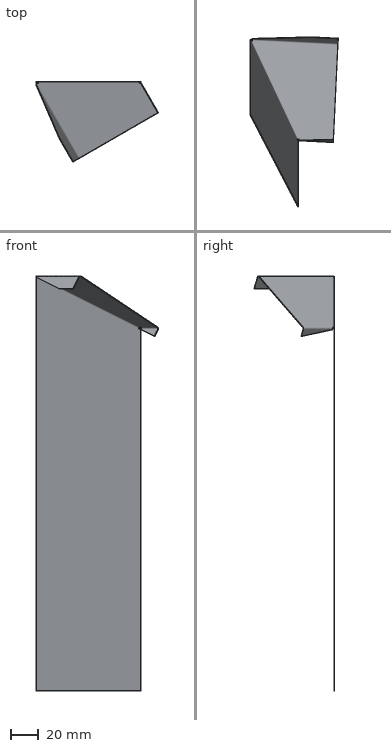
import cadquery as cq
import math

sheet = 0.5
outer_radius = 1.5
peak_height = 299.97
panel_width = 75.8
panel_left = -0.7
roof_slope = 30.0
eave_turn = 60.0
roof_left = -1.2
roof_right = 75.37
roof_reach = 63.28
flange_depth = 11.4
flange_relief = 1.3

slope = math.radians(roof_slope)
turn = math.radians(eave_turn)
peak = cq.Vector(0, 0, peak_height)
level_dir = cq.Vector(math.cos(turn), -math.sin(turn), 0)
roof_normal = cq.Vector(
    math.sin(slope) * math.sin(turn),
    math.sin(slope) * math.cos(turn),
    math.cos(slope),
)
downhill_dir = roof_normal.cross(level_dir)

fold_dir = cq.Vector(roof_normal.z, 0, -roof_normal.x).normalized()
fold_angle = math.acos(roof_normal.y)
fold_setback = outer_radius * math.tan(fold_angle / 2)

inner_radius = outer_radius - sheet
oversize = 2 * peak_height


def rounded_prism(plane, points, rounded, radius, length):
    """Prism of a polygon, with the corners listed in `rounded` turned into bends."""
    sketch = cq.Sketch().polygon(points + points[:1])
    for corner in rounded:
        nearest = cq.NearestToPointSelector((*corner, 0))
        sketch = sketch.reset().vertices(nearest).fillet(radius)
    return cq.Workplane(plane).placeSketch(sketch.reset()).extrude(length)


def channel_body(inset, depth, radius):
    """Solid under the roof, inset from the outer faces, running along the level edges."""
    back_extra = roof_right
    plane = cq.Plane(peak - level_dir * back_extra, downhill_dir, level_dir)
    top_left = (roof_left + inset, -inset)
    top_right = (roof_right - inset, -inset)
    bottom_right = (roof_right - inset, -depth)
    bottom_left = (roof_left + inset, -depth)
    points = [top_left, top_right, bottom_right, bottom_left]
    return rounded_prism(plane, points, [top_left, top_right], radius, back_extra + roof_reach)


def half_space(origin, x_dir, inward):
    """Large block on the side of a plane that `inward` points to."""
    return cq.Workplane(cq.Plane(origin, x_dir, inward)).rect(oversize, oversize).extrude(oversize)


def roof():
    """Sloping roof with two side flanges that taper out toward the fold."""
    outer = channel_body(0, flange_depth, outer_radius)
    inner = channel_body(sheet, 2 * flange_depth, inner_radius)
    away_from_fold = fold_dir.cross(roof_normal)
    past_bend = half_space(peak + away_from_fold * fold_setback, fold_dir, away_from_fold)
    above_trim = half_space(
        peak - cq.Vector(0, 0, flange_relief), fold_dir, cq.Vector(-fold_dir.z, 0, fold_dir.x)
    )
    panel_edge = cq.Vector(panel_left, 0, peak_height)
    beside_panel = half_space(panel_edge, cq.Vector(0, 1, 0), cq.Vector(1, 0, 0))
    channel = outer.cut(inner)
    return channel.intersect(past_bend).intersect(above_trim).intersect(beside_panel)


def fold_wedge(inset, radius):
    """Solid enclosed by the panel and the roof, inset from both outer faces."""
    plane = cq.Plane(peak - fold_dir * oversize, roof_normal, fold_dir)
    leg = 2 * oversize
    corner = (-inset, inset * math.tan(fold_angle / 2))
    roof_end = (corner[0], corner[1] + leg)
    panel_end = (corner[0] - leg * math.sin(fold_angle), corner[1] - leg * math.cos(fold_angle))
    return rounded_prism(plane, [corner, roof_end, panel_end], [corner], radius, 2 * oversize)


def back_panel():
    """Upright panel, and the bend that joins the middle of its sloping top edge to the roof."""
    folded = fold_wedge(0, outer_radius).cut(fold_wedge(sheet, inner_radius))

    width_limit = (
        cq.Workplane()
        .box(panel_width, oversize, oversize, centered=(False, True, False))
        .translate((panel_left, 0, 0))
    )
    down_panel = cq.Vector(fold_dir.z, 0, -fold_dir.x)
    bend_start = peak + down_panel * fold_setback
    panel = folded.intersect(half_space(bend_start, fold_dir, down_panel)).intersect(width_limit)

    toward_fold = roof_normal.cross(fold_dir)
    bend_end = peak + toward_fold * -fold_setback
    flat_left = peak + downhill_dir * (roof_left + outer_radius)
    flat_right = peak + downhill_dir * (roof_right - outer_radius)
    bend = (
        folded.intersect(half_space(bend_start, fold_dir, down_panel * -1))
        .intersect(half_space(bend_end, fold_dir, toward_fold))
        .intersect(half_space(flat_left, level_dir, downhill_dir))
        .intersect(half_space(flat_right, level_dir, downhill_dir * -1))
    )
    return panel.union(bend)


result = roof().union(back_panel())